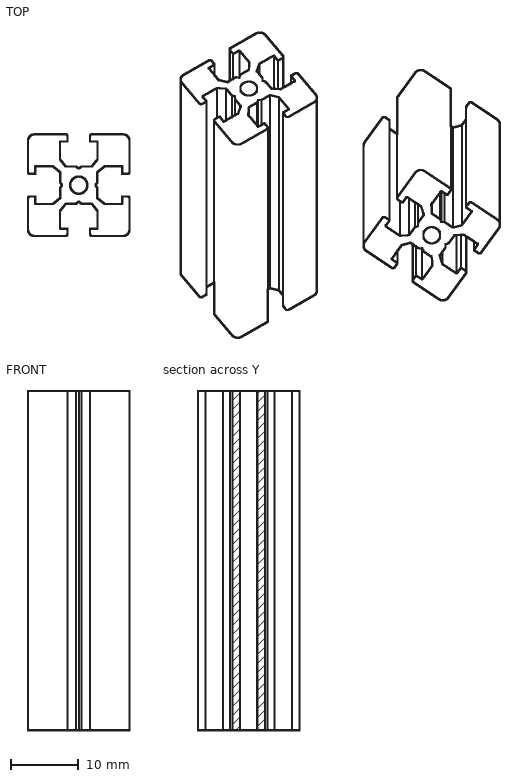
import cadquery as cq

side = 15.0
length = 50.0
corner_radius = 1.0
bore_diameter = 2.5

mouth_width = 3.3
cavity_width = 5.5
lip_thickness = 1.1
lip_radius = 0.3
core_width = 5.5
floor_width = 3.8
wall_end_distance = 3.8

groove_width = 0.8
groove_depth = 0.3

half_side = side / 2
half_mouth = mouth_width / 2
half_cavity = cavity_width / 2
half_core = core_width / 2
half_floor = floor_width / 2
half_groove = groove_width / 2
lip_inner = half_side - lip_thickness


def slot_cutter():
    """Solid that cuts the slot on the +Y side, from the mouth to the V-groove."""
    right_half = [
        (half_mouth, half_side),
        (half_mouth, lip_inner),
        (half_cavity, lip_inner),
        (half_cavity, wall_end_distance),
        (half_floor, half_core),
        (half_groove, half_core),
    ]
    left_half = [(-x, y) for x, y in reversed(right_half)]
    groove_bottom = [(0, half_core - groove_depth)]
    outline = right_half + groove_bottom + left_half
    return cq.Workplane("XY").polyline(outline).close().extrude(length)


def round_lips(bar):
    """Round the outer edges of the eight slot lips."""
    lip_points = []
    for outer in (-half_side, half_side):
        for mouth in (-half_mouth, half_mouth):
            lip_points += [(mouth, outer), (outer, mouth)]
    for x, y in lip_points:
        edge = cq.selectors.NearestToPointSelector((x, y, length / 2))
        bar = bar.edges("|Z").edges(edge).fillet(lip_radius)
    return bar


bar = cq.Workplane("XY").rect(side, side).extrude(length)
bar = bar.edges("|Z").fillet(corner_radius)

for angle in (0, 90, 180, 270):
    bar = bar.cut(slot_cutter().rotate((0, 0, 0), (0, 0, 1), angle))

bar = round_lips(bar)
result = bar.faces(">Z").workplane(origin=(0, 0, length)).hole(bore_diameter)